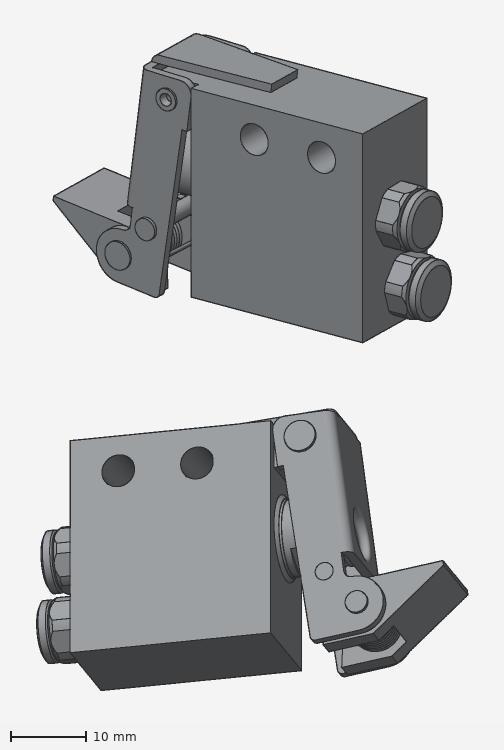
import cadquery as cq
import math


BLOCK_LENGTH = 27.6
BLOCK_WIDTH = 15.0
BLOCK_HEIGHT = 30.0
MOUNT_HOLE_COUNT = 2
MOUNT_HOLE_RADIUS = 2.25
MOUNT_HOLE_X = 10.15
MOUNT_HOLE_PITCH = 10.85
MOUNT_HOLE_DROP = 4.95
TONGUE_LENGTH = 6.85
TONGUE_WIDTH = 11.7
TONGUE_HEIGHT = 6.0

BUTTON_Z = 15.95
BUTTON_RADIUS = 5.15
BUTTON_REACH = 7.3
BUTTON_FLAT_DROP = 3.05
BUTTON_FLAT_END = 1.8
COLLAR_LENGTH = 0.85
COLLAR_CONE_LENGTH = 0.5
COLLAR_BASE_RADIUS = 5.9
COLLAR_TIP_RADIUS = 5.4
COLLAR_NECK_RADIUS = 5.3

FITTINGS = [(0.0, BUTTON_Z, -2.2), (2.1, 5.35, 11.2)]
NUT_SIDES = 6
NUT_LENGTH = 3.25
NUT_FLATS = 8.4
NUT_RADIUS = 4.5
NUT_CHAMFER_LENGTH = 0.5
NUT_END_RADIUS = 4.2
NECK_LENGTH = 0.3
NECK_RADIUS = 3.0
RING_RADIUS = 4.2
RING_LENGTH = 1.65
RING_BACK_CHAMFER = 0.2
RING_FRONT_CHAMFER_LENGTH = 0.4
RING_FRONT_RADIUS = 3.55

PIVOT_X = -4.05
PIVOT_Z = 27.4
LEAN = 7.4

SHEET = 1.25
LEVER_HALF_WIDTH = 7.25
CHEEK_INSIDE = LEVER_HALF_WIDTH - SHEET
BEND_RADIUS = 1.35
WEB_X = -4.85
WEB_BOTTOM = -17.5
CHEEK_FRONT_X = -3.35
CHEEK_NECK_RADIUS = 1.1
EAR_CENTRE = (-4.3, -25.1)
EAR_RADIUS = 3.9
HEEL_X = 2.35
HEEL_RADIUS = 0.7
CHEEK_STEP_Z = -3.5
CHEEK_STEP_X = 2.85
CHEEK_TOP_X = 3.65
CHEEK_TOP_RADIUS = 1.8
TAB_CORNER_Z = 4.05
TAB_RISE = 5.4
TAB_DROP = SHEET / math.cos(math.radians(TAB_RISE))
TAB_END_X = 13.3
TAB_ROOT_HALF_WIDTH = 4.5
TAB_END_HALF_WIDTH = 3.05
TAB_TAPER_START_X = -3.5
DIMPLE_Z = -12.5
DIMPLE_RADIUS = 3.5
DIMPLE_RIM_RADIUS = 0.45
DIMPLE_FLOOR_RADIUS = 0.75
DIMPLE_DEPTH = DIMPLE_RIM_RADIUS + DIMPLE_FLOOR_RADIUS
DIMPLE_BACK_RADIUS = 3.95

PIVOT_PIN_RADIUS = 1.6
PIVOT_HEAD_RADIUS = 2.15
PIVOT_SOCKET_RADIUS = 0.9
PIVOT_SOCKET_FLOOR_RADIUS = 0.6
PIVOT_SOCKET_DEPTH = 1.1
STOP_PLACE = (-0.75, -19.6)
STOP_PIN_RADIUS = 1.25
STOP_HEAD_RADIUS = 1.6
PAWL_PIN_PLACE = (-4.6, -25.05)
PAWL_PIN_RADIUS = 1.5
PAWL_HEAD_RADIUS = 2.0
PIN_LONG_END = 7.75
PIN_SHORT_END = 7.6

PAWL_HALF_WIDTH = 5.9
PAWL_TOP_Z = -21.3
PAWL_BOTTOM_Z = -29.3
PAWL_TIP_X = -16.6
PAWL_TIP_THICKNESS = 0.7
PAWL_TOE_X = -5.9
PAWL_HEEL_X = 1.05
PAWL_REAR_X = -0.35
PAWL_SLOT_HALF_WIDTH = 3.1
PAWL_SLOT_X = -8.15

WIRE_RADIUS = 0.3
COIL_RADIUS = 3.1
COIL_GAP = 0.03
COIL_PITCH = 2 * WIRE_RADIUS + COIL_GAP
COIL_TURNS = 9.2
COIL_SHIFT = 0.05
LEG_LENGTH = 9.65
LEG_ANGLE = 42.5


def plate(outline, half_width):
    """Thickens a closed XZ outline to both sides of Y = 0."""
    return outline.close().extrude(half_width, both=True)


def turned_along_y(profile, place=(0, 0)):
    """Turns a closed (radius, Y) profile about the Y direction through an XZ place."""
    solid = cq.Workplane("XY").polyline(profile).close().revolve(360, (0, 0), (0, 1))
    return solid.translate((place[0], 0, place[1]))


def turned_along_x(profile):
    """Turns a closed (X, radius) profile about the X axis."""
    return cq.Workplane("XY").polyline(profile).close().revolve(360, (0, 0), (1, 0))


def rod_along_y(radius, place):
    """A cylinder along Y, wider than the whole valve, used to bore through holes."""
    return cq.Workplane("XZ").center(*place).circle(radius).extrude(BLOCK_WIDTH, both=True)


def lean_at_pivot(solid):
    """Moves a lever part from its upright position to its place on the block."""
    return solid.rotate((0, 0, 0), (0, 1, 0), LEAN).translate((PIVOT_X, 0, PIVOT_Z))


def make_fitting(y, z, corner_angle):
    """One tube fitting: a chamfered hexagon nut, a neck and a release ring."""
    across_corners = NUT_FLATS / math.cos(math.pi / NUT_SIDES)
    hexagon = (
        cq.Workplane("YZ")
        .polygon(NUT_SIDES, across_corners)
        .extrude(NUT_LENGTH)
        .rotate((0, 0, 0), (1, 0, 0), -corner_angle)
    )
    nut_envelope = turned_along_x([
        (0, 0),
        (0, NUT_RADIUS),
        (NUT_LENGTH - NUT_CHAMFER_LENGTH, NUT_RADIUS),
        (NUT_LENGTH, NUT_END_RADIUS),
        (NUT_LENGTH, 0),
    ])
    ring_start = NUT_LENGTH + NECK_LENGTH
    ring_end = ring_start + RING_LENGTH
    neck_and_ring = turned_along_x([
        (0, 0),
        (0, NECK_RADIUS),
        (ring_start, NECK_RADIUS),
        (ring_start, RING_RADIUS - RING_BACK_CHAMFER),
        (ring_start + RING_BACK_CHAMFER, RING_RADIUS),
        (ring_end - RING_FRONT_CHAMFER_LENGTH, RING_RADIUS),
        (ring_end, RING_FRONT_RADIUS),
        (ring_end, 0),
    ])
    fitting = hexagon.intersect(nut_envelope).union(neck_and_ring)
    return fitting.translate((BLOCK_LENGTH, y, z))


def make_block():
    """The valve block with its hinge tongue, button collar and tube fittings."""
    block = cq.Workplane("XY").box(
        BLOCK_LENGTH, BLOCK_WIDTH, BLOCK_HEIGHT, centered=(False, True, False)
    )
    tongue = (
        cq.Workplane("XY")
        .box(TONGUE_LENGTH, TONGUE_WIDTH, TONGUE_HEIGHT, centered=(False, True, False))
        .translate((-TONGUE_LENGTH, 0, BLOCK_HEIGHT - TONGUE_HEIGHT))
    )
    collar = turned_along_x([
        (0, 0),
        (0, COLLAR_BASE_RADIUS),
        (-COLLAR_CONE_LENGTH, COLLAR_TIP_RADIUS),
        (-COLLAR_CONE_LENGTH, COLLAR_NECK_RADIUS),
        (-COLLAR_LENGTH, COLLAR_NECK_RADIUS),
        (-COLLAR_LENGTH, 0),
    ]).translate((0, 0, BUTTON_Z))
    block = block.union(tongue).union(collar)
    for i in range(MOUNT_HOLE_COUNT):
        hole_place = (MOUNT_HOLE_X + i * MOUNT_HOLE_PITCH, BLOCK_HEIGHT - MOUNT_HOLE_DROP)
        block = block.cut(rod_along_y(MOUNT_HOLE_RADIUS, hole_place))
    block = block.cut(rod_along_y(PIVOT_PIN_RADIUS, (PIVOT_X, PIVOT_Z)))
    for y, z, corner_angle in FITTINGS:
        block = block.union(make_fitting(y, z, corner_angle))
    return block


def make_button():
    """The push button: a cylinder with two flats meeting at the bottom of its front part."""
    button = cq.Workplane("YZ").circle(BUTTON_RADIUS).extrude(BUTTON_REACH - COLLAR_LENGTH)
    flat_half_width = math.sqrt(BUTTON_RADIUS**2 - BUTTON_FLAT_DROP**2)
    for side in (-1, 1):
        waste = (
            cq.Workplane("YZ")
            .moveTo(0, -BUTTON_RADIUS)
            .lineTo(side * flat_half_width, -BUTTON_FLAT_DROP)
            .lineTo(side * BUTTON_RADIUS, -BUTTON_FLAT_DROP)
            .lineTo(side * BUTTON_RADIUS, -BUTTON_RADIUS)
            .close()
            .extrude(BUTTON_REACH - BUTTON_FLAT_END)
        )
        button = button.cut(waste)
    return button.translate((-BUTTON_REACH, 0, BUTTON_Z))


def tab_top_z(x):
    """Height of the upper face of the sloping tab."""
    return TAB_CORNER_Z + (x - WEB_X) * math.tan(math.radians(TAB_RISE))


def make_channel():
    """The web and cheeks of the lever, bent from one sheet."""
    ear_x, ear_z = EAR_CENTRE
    channel = plate(
        cq.Workplane("XZ")
        .moveTo(WEB_X, tab_top_z(WEB_X) - TAB_DROP)
        .lineTo(WEB_X, WEB_BOTTOM)
        .lineTo(CHEEK_FRONT_X, WEB_BOTTOM)
        .lineTo(CHEEK_FRONT_X, ear_z + EAR_RADIUS)
        .lineTo(ear_x, ear_z + EAR_RADIUS)
        .threePointArc((ear_x - EAR_RADIUS, ear_z), (ear_x, ear_z - EAR_RADIUS))
        .lineTo(HEEL_X, ear_z - EAR_RADIUS)
        .lineTo(CHEEK_STEP_X, CHEEK_STEP_Z)
        .lineTo(CHEEK_TOP_X, CHEEK_STEP_Z)
        .lineTo(CHEEK_TOP_X, tab_top_z(CHEEK_TOP_X) - TAB_DROP),
        LEVER_HALF_WIDTH,
    )
    rounded_corners = [
        ((CHEEK_FRONT_X, ear_z + EAR_RADIUS), CHEEK_NECK_RADIUS),
        ((HEEL_X, ear_z - EAR_RADIUS), HEEL_RADIUS),
        ((CHEEK_TOP_X, tab_top_z(CHEEK_TOP_X) - TAB_DROP), CHEEK_TOP_RADIUS),
    ]
    for (x, z), radius in rounded_corners:
        channel = channel.edges(cq.NearestToPointSelector((x, 0, z))).fillet(radius)
    for side in (-1, 1):
        bend_edge = cq.NearestToPointSelector((WEB_X, side * LEVER_HALF_WIDTH, DIMPLE_Z / 2))
        channel = channel.edges("|Z").edges(bend_edge).fillet(BEND_RADIUS)
    inner_x = WEB_X + SHEET
    ear_left = ear_x - EAR_RADIUS
    ear_bottom = ear_z - EAR_RADIUS
    inner_space = plate(
        cq.Workplane("XZ")
        .moveTo(inner_x, tab_top_z(CHEEK_TOP_X))
        .lineTo(inner_x, WEB_BOTTOM)
        .lineTo(ear_left, WEB_BOTTOM)
        .lineTo(ear_left, ear_bottom)
        .lineTo(CHEEK_TOP_X, ear_bottom)
        .lineTo(CHEEK_TOP_X, tab_top_z(CHEEK_TOP_X)),
        CHEEK_INSIDE,
    )
    return channel.cut(inner_space)


def make_tab():
    """The tapered tab folded over the top of the block, with the bend to the web."""
    inner_x = WEB_X + SHEET
    tab = plate(
        cq.Workplane("XZ")
        .moveTo(WEB_X, 0)
        .lineTo(WEB_X, tab_top_z(WEB_X))
        .lineTo(TAB_END_X, tab_top_z(TAB_END_X))
        .lineTo(TAB_END_X, tab_top_z(TAB_END_X) - TAB_DROP)
        .lineTo(inner_x, tab_top_z(inner_x) - TAB_DROP)
        .lineTo(inner_x, 0),
        TAB_ROOT_HALF_WIDTH,
    )
    bend_edge = cq.NearestToPointSelector((WEB_X, 0, TAB_CORNER_Z))
    tab = tab.edges(bend_edge).fillet(BEND_RADIUS)
    taper = (
        cq.Workplane("XY")
        .moveTo(WEB_X, -TAB_ROOT_HALF_WIDTH)
        .lineTo(TAB_TAPER_START_X, -TAB_ROOT_HALF_WIDTH)
        .lineTo(TAB_END_X, -TAB_END_HALF_WIDTH)
        .lineTo(TAB_END_X, TAB_END_HALF_WIDTH)
        .lineTo(TAB_TAPER_START_X, TAB_ROOT_HALF_WIDTH)
        .lineTo(WEB_X, TAB_ROOT_HALF_WIDTH)
        .close()
        .extrude(tab_top_z(TAB_END_X))
    )
    return tab.intersect(taper)


def emboss_dimple(lever):
    """Presses the round dimple into the web, with a matching boss on its back."""
    boss = (
        cq.Workplane("YZ", origin=(WEB_X + SHEET, 0, DIMPLE_Z))
        .circle(DIMPLE_BACK_RADIUS)
        .extrude(DIMPLE_DEPTH)
    )
    arc_share = math.sqrt(0.5)
    recess = (
        cq.Workplane("XY")
        .lineTo(DIMPLE_DEPTH, 0)
        .lineTo(DIMPLE_DEPTH, DIMPLE_RADIUS - DIMPLE_FLOOR_RADIUS)
        .threePointArc(
            (
                DIMPLE_DEPTH - DIMPLE_FLOOR_RADIUS * (1 - arc_share),
                DIMPLE_RADIUS - DIMPLE_FLOOR_RADIUS * (1 - arc_share),
            ),
            (DIMPLE_RIM_RADIUS, DIMPLE_RADIUS),
        )
        .threePointArc(
            (
                DIMPLE_RIM_RADIUS * (1 - arc_share),
                DIMPLE_RADIUS + DIMPLE_RIM_RADIUS * (1 - arc_share),
            ),
            (0, DIMPLE_RADIUS + DIMPLE_RIM_RADIUS),
        )
        .close()
        .revolve(360, (0, 0), (1, 0))
        .translate((WEB_X, 0, DIMPLE_Z))
    )
    return lever.union(boss).cut(recess)


def make_lever():
    """The complete lever with its three pairs of pin holes."""
    lever = emboss_dimple(make_channel().union(make_tab()))
    pins = [
        (PIVOT_PIN_RADIUS, (0, 0)),
        (STOP_PIN_RADIUS, STOP_PLACE),
        (PAWL_PIN_RADIUS, PAWL_PIN_PLACE),
    ]
    for radius, place in pins:
        lever = lever.cut(rod_along_y(radius, place))
    return lean_at_pivot(lever)


def make_pivot_pin():
    """The hinge pin, headed on the +Y side and socketed in its -Y end."""
    return lean_at_pivot(turned_along_y([
        (0, PIVOT_SOCKET_DEPTH - PIN_SHORT_END),
        (PIVOT_SOCKET_FLOOR_RADIUS, PIVOT_SOCKET_DEPTH - PIN_SHORT_END),
        (PIVOT_SOCKET_RADIUS, -PIN_SHORT_END),
        (PIVOT_PIN_RADIUS, -PIN_SHORT_END),
        (PIVOT_PIN_RADIUS, LEVER_HALF_WIDTH),
        (PIVOT_HEAD_RADIUS, LEVER_HALF_WIDTH),
        (PIVOT_HEAD_RADIUS, PIN_LONG_END),
        (0, PIN_LONG_END),
    ]))


def make_headed_pin(place, radius, head_radius, head_end, tail_end):
    """A pin headed on the -Y side."""
    return lean_at_pivot(turned_along_y([
        (0, -head_end),
        (head_radius, -head_end),
        (head_radius, -LEVER_HALF_WIDTH),
        (radius, -LEVER_HALF_WIDTH),
        (radius, tail_end),
        (0, tail_end),
    ], place))


def make_pawl():
    """The wedge-shaped pawl, slotted from the rear for the spring."""
    pawl = plate(
        cq.Workplane("XZ")
        .moveTo(PAWL_TIP_X, PAWL_TOP_Z)
        .lineTo(PAWL_REAR_X, PAWL_TOP_Z)
        .lineTo(PAWL_HEEL_X, PAWL_BOTTOM_Z)
        .lineTo(PAWL_TOE_X, PAWL_BOTTOM_Z)
        .lineTo(PAWL_TIP_X, PAWL_TOP_Z - PAWL_TIP_THICKNESS),
        PAWL_HALF_WIDTH,
    )
    slot = plate(
        cq.Workplane("XZ")
        .moveTo(PAWL_SLOT_X, PAWL_TOP_Z)
        .lineTo(PAWL_HEEL_X, PAWL_TOP_Z)
        .lineTo(PAWL_HEEL_X, PAWL_BOTTOM_Z)
        .lineTo(PAWL_SLOT_X, PAWL_BOTTOM_Z),
        PAWL_SLOT_HALF_WIDTH,
    )
    return lean_at_pivot(pawl.cut(slot).cut(rod_along_y(PAWL_PIN_RADIUS, PAWL_PIN_PLACE)))


def make_spring():
    """The torsion spring: one wire coiled about the pawl pin, ending in a straight leg."""
    coil_height = COIL_PITCH * COIL_TURNS
    helix = cq.Wire.makeHelix(COIL_PITCH, coil_height, COIL_RADIUS)
    start = cq.Vector(COIL_RADIUS, 0, 0)
    wire_run = cq.Vector(0, 2 * math.pi * COIL_RADIUS, COIL_PITCH).normalized()
    leg_end = start - wire_run * LEG_LENGTH
    path = cq.Wire.assembleEdges([cq.Edge.makeLine(leg_end, start), *helix.Edges()])
    spring = (
        cq.Workplane(cq.Plane(origin=leg_end.toTuple(), normal=wire_run.toTuple()))
        .circle(WIRE_RADIUS)
        .sweep(cq.Workplane(obj=path), isFrenet=True)
        .translate((0, 0, -coil_height / 2))
    )
    spring = spring.rotate((0, 0, 0), (1, 0, 0), -90)
    spring = spring.rotate((0, 0, 0), (0, 1, 0), 90 - LEG_ANGLE)
    pin_x, pin_z = PAWL_PIN_PLACE
    return lean_at_pivot(spring.translate((pin_x, COIL_SHIFT, pin_z)))


block = make_block()
button = make_button()
lever = make_lever()
pivot_pin = make_pivot_pin()
stop_pin = make_headed_pin(
    STOP_PLACE, STOP_PIN_RADIUS, STOP_HEAD_RADIUS, PIN_LONG_END, LEVER_HALF_WIDTH
)
pawl_pin = make_headed_pin(
    PAWL_PIN_PLACE, PAWL_PIN_RADIUS, PAWL_HEAD_RADIUS, PIN_SHORT_END, PIN_LONG_END
)
pawl = make_pawl()
spring = make_spring()
bodies = [block, button, lever, pivot_pin, stop_pin, pawl_pin, pawl, spring]
result = cq.Compound.makeCompound([body.val() for body in bodies])